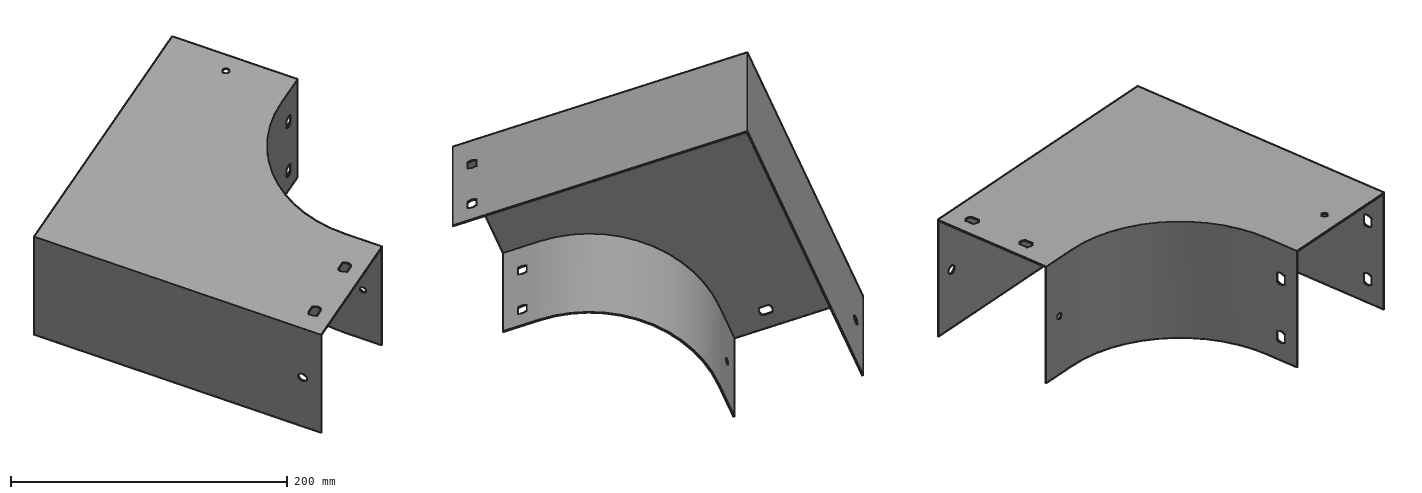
import cadquery as cq

length_x = 231.0
length_y = 229.0
height = 100.0
arm_width = 101.0
inner_bend_radius = 100.0
sheet = 1.0

end_distance = 15.0
slot_width = 7.0
slot_length = 10.0
slot_offsets = (20.0, 70.0)
outer_hole_diameter = 7.0
hole_diameter = 5.0

end_hole_x = length_x - end_distance
end_hole_y = length_y - end_distance


def bend_profile(inset, overrun):
    """L-shaped profile, inset from the side walls and extended past both open ends."""
    far = arm_width - inset
    bend_end = arm_width + inner_bend_radius
    end_x = length_x + overrun
    end_y = length_y + overrun
    return (
        cq.Workplane("XY")
        .moveTo(inset, inset)
        .lineTo(end_x, inset)
        .lineTo(end_x, far)
        .lineTo(bend_end, far)
        .radiusArc((far, bend_end), inner_bend_radius + inset)
        .lineTo(far, end_y)
        .lineTo(inset, end_y)
        .close()
    )


def make_shell():
    """Top sheet, two flat outer walls and a curved inner wall; the underside is open."""
    body = bend_profile(0, 0).extrude(height)
    cavity = bend_profile(sheet, sheet).extrude(height - sheet)
    return body.cut(cavity)


def slot_cutter(plane, u, v, depth):
    """Flat-sided slot: a circle as wide as the slot is long, trimmed to the slot width."""
    disc = cq.Workplane(plane).center(u, v).circle(slot_length / 2).extrude(depth)
    band = cq.Workplane(plane).center(u, v).rect(slot_width, slot_length).extrude(depth)
    return disc.intersect(band)


def hole_cutter(plane, u, v, diameter, depth):
    return cq.Workplane(plane).center(u, v).circle(diameter / 2).extrude(depth)


result = make_shell()

for offset in slot_offsets:
    result = result.cut(slot_cutter("XY", end_hole_x, offset, height))
    result = result.cut(slot_cutter("YZ", end_hole_y, offset, arm_width))

result = result.cut(hole_cutter("XY", arm_width / 2, end_hole_y, hole_diameter, height))

result = result.cut(hole_cutter("XZ", end_hole_x, height / 2, outer_hole_diameter, -sheet))
result = result.cut(hole_cutter("XZ", end_hole_x, height / 2, hole_diameter, -arm_width))